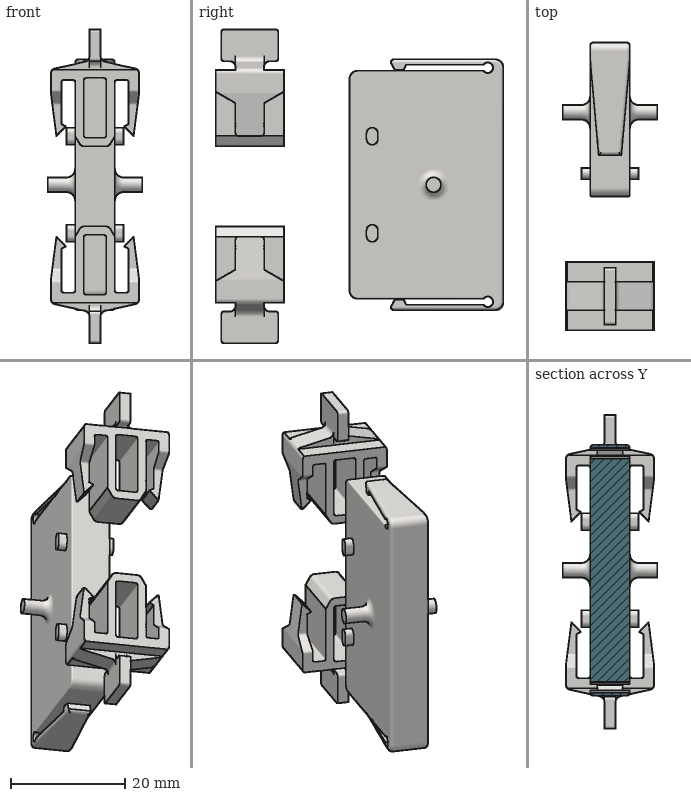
import cadquery as cq
import math

CARD_THICKNESS = 7.0
CARD_BACK_Y = 12.25
CARD_FRONT_Y = -14.75
CARD_HALF_HEIGHT = 20.0
CARD_CORNER_RADIUS = 1.5
CARD_EDGE_RADIUS = 0.3

ARM_OUTER_Z = 22.0
ARM_INNER_Z = 21.0
ARM_HINGE_Y = 9.5
ARM_TIP_Y = -7.5
ARM_TIP_WIDTH = 4.0
ARM_EDGE_RADIUS = 0.6
HINGE_HOLE_RADIUS = 0.9

CATCH_CLEARANCE = 0.1
CATCH_INNER_Z = CARD_HALF_HEIGHT + CATCH_CLEARANCE
CATCH_BACK_Y = -4.8
CATCH_FLAT_BACK_Y = -5.2
CATCH_FLAT_FRONT_Y = -6.8
CATCH_LIP_Z = ARM_OUTER_Z - ARM_EDGE_RADIUS

PIN_SPAN = 16.6
PIN_RADIUS = 1.3
PIN_ROOT_RADIUS = 1.5
PEG_SPAN = 10.0
PEG_WIDTH = 2.0
PEG_HEIGHT = 3.0
PEG_SETBACK = 4.0
PEG_Y = CARD_FRONT_Y + PEG_SETBACK
PEG_Z = 8.5

CLIP_CENTER_Y = -32.2
CLIP_MID_Z = -0.28
CLIP_LENGTH = 12.0
CLIP_HALF_WIDTH = 7.75
SHOULDER_Z = 20.4
BRIDGE_UNDERSIDE_Z = 18.6
SLOT_CORNER_RADIUS = 0.35

RIDGE_LENGTH = 5.0
RIDGE_SLOPE = math.radians(12.3)
RIDGE_PEAK_Z = 22.2
RIDGE_EDGE_RADIUS = 1.0

TAB_THICKNESS = 2.0
TAB_LENGTH = 10.0
TAB_TOP_Z = 27.5
TAB_HEAD_HEIGHT = 5.6
TAB_CORNER_RADIUS = 0.5
TAB_ROOT_RADIUS = 1.0

LEG_HALF_WIDTH = 3.5
LEG_END_Z = 7.0
LEG_TAPER_Z = 8.85
LEG_TAPER_ANGLE = math.radians(30)
LEG_END_RADIUS = 1.0
WINDOW_WIDTH = 4.0
WINDOW_WALL = 1.5
WINDOW_TOP_Z = 19.0
WINDOW_CORNER_RADIUS = 0.5

HOOK_ARM_INNER_X = 5.85
HOOK_TAPER_Z = 16.35
HOOK_TIP_X = 6.78
HOOK_TIP_Z = 8.82
HOOK_POINT_X = 5.1
HOOK_POINT_Z = HOOK_TIP_Z + (HOOK_TIP_X - HOOK_POINT_X)
HOOK_SEAT_Z = 10.95
HOOK_ARM_LENGTH = 5.0
HOOK_FLARE_TOP_Z = 16.6
HOOK_FLARE_ANGLE = math.radians(30)
HOOK_CORNER_RADIUS = 0.5


def box(x_range, y_range, z_range):
    """Box between the given limits on each axis."""
    sizes = [high - low for low, high in (x_range, y_range, z_range)]
    return cq.Workplane("XY").box(*sizes, centered=False).translate((x_range[0], y_range[0], z_range[0]))


def extrude_along_x(outline, width):
    """Solid of a (y, z) outline, centred on X = 0."""
    return cq.Workplane("YZ").polyline(outline).close().extrude(width / 2, both=True)


def extrude_along_y(outline, length):
    """Solid of an (x, z) outline, centred on Y = 0."""
    return cq.Workplane("XZ").polyline(outline).close().extrude(length / 2, both=True)


def mirror_pair(solid, plane):
    """Solid joined to its mirror image in the given plane through the origin."""
    return solid.union(solid.mirror(plane))


def make_card_body():
    """Flat body of the card, up to the hinge line of the spring arms."""
    half_thickness = CARD_THICKNESS / 2
    body = box(
        (-half_thickness, half_thickness),
        (CARD_FRONT_Y, ARM_HINGE_Y),
        (-CARD_HALF_HEIGHT, CARD_HALF_HEIGHT),
    )
    body = body.edges("|X and <Y").fillet(CARD_CORNER_RADIUS)
    return body.faces("<X or >X").edges("not >Y").fillet(CARD_EDGE_RADIUS)


def make_back_and_arms():
    """Back block with the two spring arms, each ending in a catch."""
    half_thickness = CARD_THICKNESS / 2
    half_tip = ARM_TIP_WIDTH / 2
    plan = [
        (-half_thickness, CARD_BACK_Y),
        (-half_thickness, ARM_HINGE_Y),
        (-half_tip, ARM_TIP_Y),
        (half_tip, ARM_TIP_Y),
        (half_thickness, ARM_HINGE_Y),
        (half_thickness, CARD_BACK_Y),
    ]
    block = cq.Workplane("XY").polyline(plan).close().extrude(ARM_OUTER_Z, both=True)
    block = block.edges("|X and >Y").fillet(CARD_CORNER_RADIUS)
    rim = block.faces("<Z or >Z").edges("not(|X and >Y)")
    block = rim.fillet(ARM_EDGE_RADIUS)
    gap = [
        (ARM_HINGE_Y, 0),
        (ARM_HINGE_Y, ARM_INNER_Z),
        (CATCH_BACK_Y, ARM_INNER_Z),
        (CATCH_FLAT_BACK_Y, CATCH_INNER_Z),
        (CATCH_FLAT_FRONT_Y, CATCH_INNER_Z),
        (ARM_TIP_Y, CATCH_LIP_Z),
        (ARM_TIP_Y, 0),
    ]
    return block.cut(mirror_pair(extrude_along_x(gap, CARD_THICKNESS), "XY"))


def make_pins():
    """Pivot pin through the card, with a flared root on each face."""
    face_x = CARD_THICKNESS / 2
    root_x = face_x + PIN_ROOT_RADIUS
    flare_radius = PIN_RADIUS + PIN_ROOT_RADIUS
    arc_offset = PIN_ROOT_RADIUS * (1 - math.sqrt(0.5))
    half_outline = (
        cq.Workplane("XY")
        .lineTo(0, flare_radius)
        .lineTo(face_x, flare_radius)
        .threePointArc((face_x + arc_offset, PIN_RADIUS + arc_offset), (root_x, PIN_RADIUS))
        .lineTo(PIN_SPAN / 2, PIN_RADIUS)
        .lineTo(PIN_SPAN / 2, 0)
        .close()
    )
    pin = half_outline.revolve(360, (0, 0, 0), (1, 0, 0))
    return mirror_pair(pin, "YZ")


def make_pegs():
    """Oblong guide pegs, one above and one below the pivot axis."""
    return (
        cq.Workplane("YZ")
        .pushPoints([(PEG_Y, PEG_Z), (PEG_Y, -PEG_Z)])
        .slot2D(PEG_HEIGHT, PEG_WIDTH, 90)
        .extrude(PEG_SPAN / 2, both=True)
    )


def make_card():
    """Complete card: body, spring arms, hinge relief holes, pins and pegs."""
    hinge_z = (CARD_HALF_HEIGHT + ARM_INNER_Z) / 2
    hinge_holes = (
        cq.Workplane("YZ")
        .pushPoints([(ARM_HINGE_Y, hinge_z), (ARM_HINGE_Y, -hinge_z)])
        .circle(HINGE_HOLE_RADIUS)
        .extrude(CARD_THICKNESS, both=True)
    )
    card = make_back_and_arms().union(make_card_body()).cut(hinge_holes)
    return card.union(make_pins()).union(make_pegs())


def make_bridge():
    """Cross bar with flat shoulders, a central sloping ridge and the tab on top of it."""
    side_z = RIDGE_PEAK_Z - CLIP_HALF_WIDTH * math.tan(RIDGE_SLOPE)
    tab_half = TAB_THICKNESS / 2
    tab_foot_z = RIDGE_PEAK_Z - tab_half * math.tan(RIDGE_SLOPE)
    half_section = [
        (0, BRIDGE_UNDERSIDE_Z),
        (0, TAB_TOP_Z),
        (tab_half, TAB_TOP_Z),
        (tab_half, tab_foot_z),
        (CLIP_HALF_WIDTH, side_z),
        (CLIP_HALF_WIDTH, BRIDGE_UNDERSIDE_Z),
    ]
    half = extrude_along_y(half_section, CLIP_LENGTH)
    ridge_edges = cq.selectors.BoxSelector(
        (tab_half / 2, -CLIP_LENGTH, side_z - RIDGE_EDGE_RADIUS),
        (CLIP_HALF_WIDTH + tab_half, CLIP_LENGTH, RIDGE_PEAK_Z),
    )
    half = half.edges("|Y").edges(ridge_edges).fillet(RIDGE_EDGE_RADIUS)
    rounded_bar = mirror_pair(half, "YZ")

    x_range = (-CLIP_HALF_WIDTH, CLIP_HALF_WIDTH)
    clip_y = (-CLIP_LENGTH / 2, CLIP_LENGTH / 2)
    ridge_y = (-RIDGE_LENGTH / 2, RIDGE_LENGTH / 2)
    shoulders = rounded_bar.intersect(box(x_range, clip_y, (BRIDGE_UNDERSIDE_Z, SHOULDER_Z)))
    ridge = rounded_bar.intersect(box(x_range, ridge_y, (BRIDGE_UNDERSIDE_Z, TAB_TOP_Z)))
    return shoulders.union(ridge).union(make_tab())


def make_tab():
    """Flat tab: a wide head on a neck as long as the ridge."""
    half_head = TAB_LENGTH / 2
    half_neck = RIDGE_LENGTH / 2
    head_z = TAB_TOP_Z - TAB_HEAD_HEIGHT
    half_outline = [
        (0, SHOULDER_Z),
        (half_neck, SHOULDER_Z),
        (half_neck, head_z),
        (half_head, head_z),
        (half_head, TAB_TOP_Z),
        (0, TAB_TOP_Z),
    ]
    half = extrude_along_x(half_outline, TAB_THICKNESS)
    half = half.edges(edge_near(half_neck, head_z)).fillet(TAB_ROOT_RADIUS)
    half = half.edges(edge_near(half_head, head_z)).fillet(TAB_CORNER_RADIUS)
    half = half.edges(edge_near(half_head, TAB_TOP_Z)).fillet(TAB_CORNER_RADIUS)
    return mirror_pair(half, "XZ")


def edge_near(y, z):
    """Selector for the edge along X that passes through (y, z)."""
    return cq.selectors.NearestToPointSelector((0, y, z))


def make_leg():
    """Solid centre leg with a tapered, rounded end."""
    taper = (LEG_TAPER_Z - LEG_END_Z) * math.tan(LEG_TAPER_ANGLE)
    end_half_width = LEG_HALF_WIDTH - taper
    section = [
        (-LEG_HALF_WIDTH, BRIDGE_UNDERSIDE_Z),
        (-LEG_HALF_WIDTH, LEG_TAPER_Z),
        (-end_half_width, LEG_END_Z),
        (end_half_width, LEG_END_Z),
        (LEG_HALF_WIDTH, LEG_TAPER_Z),
        (LEG_HALF_WIDTH, BRIDGE_UNDERSIDE_Z),
    ]
    leg = extrude_along_y(section, CLIP_LENGTH)
    return leg.edges("|Y and <Z").fillet(LEG_END_RADIUS)


def make_window():
    """Cutter for the window, which reaches a little way into the bridge."""
    half_width = WINDOW_WIDTH / 2
    window = box(
        (-half_width, half_width),
        (-CLIP_LENGTH / 2, CLIP_LENGTH / 2),
        (LEG_END_Z + WINDOW_WALL, WINDOW_TOP_Z),
    )
    return window.edges("|Y").fillet(WINDOW_CORNER_RADIUS)


def make_hook_arm():
    """Snap arm on the +X side: full length at the bridge, flaring in to a narrow hook."""
    section = [
        (HOOK_ARM_INNER_X, BRIDGE_UNDERSIDE_Z),
        (CLIP_HALF_WIDTH, BRIDGE_UNDERSIDE_Z),
        (CLIP_HALF_WIDTH, HOOK_TAPER_Z),
        (HOOK_TIP_X, HOOK_TIP_Z),
        (HOOK_POINT_X, HOOK_POINT_Z),
        (HOOK_ARM_INNER_X, HOOK_SEAT_Z),
    ]
    half_clip = CLIP_LENGTH / 2
    half_arm = HOOK_ARM_LENGTH / 2
    flare_end_z = HOOK_FLARE_TOP_Z - (half_clip - half_arm) * math.tan(HOOK_FLARE_ANGLE)
    outline = [
        (-half_clip, BRIDGE_UNDERSIDE_Z),
        (-half_clip, HOOK_FLARE_TOP_Z),
        (-half_arm, flare_end_z),
        (-half_arm, HOOK_TIP_Z),
        (half_arm, HOOK_TIP_Z),
        (half_arm, flare_end_z),
        (half_clip, HOOK_FLARE_TOP_Z),
        (half_clip, BRIDGE_UNDERSIDE_Z),
    ]
    silhouette = extrude_along_x(outline, 2 * CLIP_HALF_WIDTH)
    silhouette = silhouette.edges("|X").edges("not >Z").fillet(HOOK_CORNER_RADIUS)
    return extrude_along_y(section, CLIP_LENGTH).intersect(silhouette)


def make_clip():
    """Upper clip, centred on Y = 0."""
    clip = make_bridge().union(make_leg()).union(mirror_pair(make_hook_arm(), "YZ"))
    slot_corners = cq.selectors.BoxSelector(
        (-CLIP_HALF_WIDTH + RIDGE_EDGE_RADIUS, -CLIP_LENGTH, BRIDGE_UNDERSIDE_Z - SLOT_CORNER_RADIUS),
        (CLIP_HALF_WIDTH - RIDGE_EDGE_RADIUS, CLIP_LENGTH, BRIDGE_UNDERSIDE_Z + SLOT_CORNER_RADIUS),
    )
    clip = clip.edges("|Y").edges(slot_corners).fillet(SLOT_CORNER_RADIUS)
    return clip.cut(make_window())


card = make_card()
clip = make_clip()
clips = [
    placed.translate((0, CLIP_CENTER_Y, CLIP_MID_Z)).val()
    for placed in (clip, clip.mirror("XY"))
]
result = cq.Compound.makeCompound([card.val(), *clips])